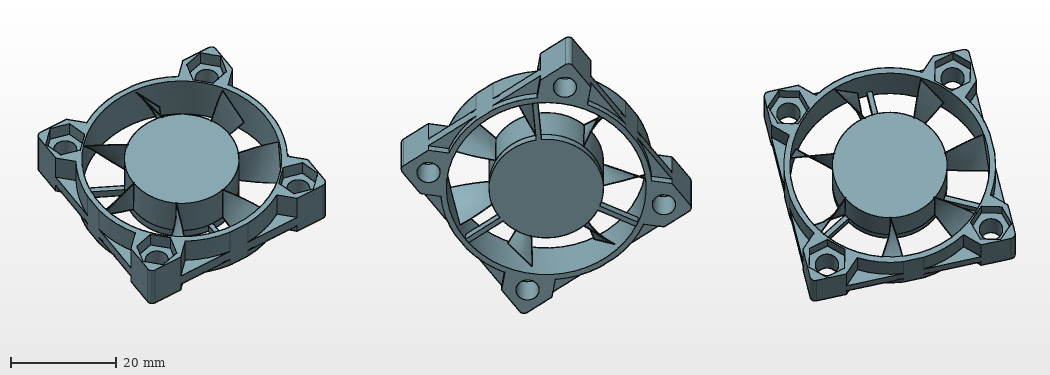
import cadquery as cq
import math

SIDE = 40.0
HEIGHT = 10.0
CORNER_RADIUS = 1.0

RING_DIAMETER = 40.2
RING_RADIUS = RING_DIAMETER / 2
BORE_RADIUS = 18.95

WEB_BOTTOM = 1.7
WEB_TOP = 4.2
BOSS_WIDTH = 9.7

HOLE_OFFSET = 16.0
HOLE_DIAMETER = 4.4
NUT_CORNER_DIAMETER = 7.75
NUT_DEPTH = 3.2

MOUNT_HEIGHT = 1.8
STRUT_WIDTH = 1.0
STRUT_COUNT = 3
STRUT_SPACING = 121.0

HUB_RADIUS = 10.9
BLADE_COUNT = 7
BLADE_CHORD = 8.1
BLADE_THICKNESS = 0.1
BLADE_TWIST = 36.0
FIRST_BLADE_ANGLE = -90.0
BLADE_ROOT_OVERLAP = 0.2


def square_block(bottom, top):
    """Rounded square plate with the outer outline of the frame."""
    return (
        cq.Workplane("XY", origin=(0, 0, bottom))
        .rect(SIDE, SIDE)
        .extrude(top - bottom)
        .edges("|Z")
        .fillet(CORNER_RADIUS)
    )


def make_frame():
    """Square fan housing with corner bosses, duct ring, web, screw holes and nut pockets."""
    full_height = cq.Workplane("XY").circle(RING_RADIUS).extrude(HEIGHT)
    for diagonal in (45, 135):
        boss_pair = (
            cq.Workplane("XY")
            .rect(2 * SIDE, BOSS_WIDTH)
            .extrude(HEIGHT)
            .rotate((0, 0, 0), (0, 0, 1), diagonal)
        )
        full_height = full_height.union(boss_pair)
    frame = full_height.intersect(square_block(0, HEIGHT)).union(square_block(WEB_BOTTOM, WEB_TOP))
    frame = frame.cut(cq.Workplane("XY").circle(BORE_RADIUS).extrude(HEIGHT))

    hole_distance = HOLE_OFFSET * math.sqrt(2)
    for diagonal in (45, 135, 225, 315):
        nut_pocket = (
            cq.Workplane("XY", origin=(0, 0, HEIGHT - NUT_DEPTH))
            .polygon(6, NUT_CORNER_DIAMETER)
            .extrude(NUT_DEPTH)
            .rotate((0, 0, 0), (0, 0, 1), 90)
        )
        screw_hole = cq.Workplane("XY").circle(HOLE_DIAMETER / 2).extrude(HEIGHT)
        cutter = (
            nut_pocket.union(screw_hole)
            .translate((hole_distance, 0, 0))
            .rotate((0, 0, 0), (0, 0, 1), diagonal)
        )
        frame = frame.cut(cutter)
    return frame


def make_motor_mount():
    """Disc under the hub with three struts that end on the bore of the frame."""
    mount = cq.Workplane("XY").circle(HUB_RADIUS).extrude(MOUNT_HEIGHT)
    for index in range(STRUT_COUNT):
        strut = (
            cq.Workplane("XY")
            .rect(RING_RADIUS, -STRUT_WIDTH, centered=False)
            .extrude(MOUNT_HEIGHT)
            .rotate((0, 0, 0), (0, 0, 1), index * STRUT_SPACING)
        )
        mount = mount.union(strut)
    return mount.intersect(cq.Workplane("XY").circle(BORE_RADIUS).extrude(MOUNT_HEIGHT))


def make_hub():
    """Plain cylindrical rotor hub standing on the motor mount."""
    return cq.Workplane("XY", origin=(0, 0, MOUNT_HEIGHT)).circle(HUB_RADIUS).extrude(HEIGHT - MOUNT_HEIGHT)


def make_blade(angle):
    """Thin blade, upright at the hub and twisted about its radius towards a flat tip."""
    half_tip_width = BLADE_CHORD / 2 * math.sin(math.radians(BLADE_TWIST))
    tip_distance = math.sqrt(BORE_RADIUS**2 - (half_tip_width + BLADE_THICKNESS) ** 2)
    mid_height = HEIGHT - BLADE_CHORD / 2
    root_distance = HUB_RADIUS - BLADE_ROOT_OVERLAP
    blade = (
        cq.Workplane("YZ", origin=(root_distance, 0, mid_height))
        .rect(BLADE_THICKNESS, BLADE_CHORD)
        .twistExtrude(tip_distance - root_distance, -BLADE_TWIST)
    )
    hub_space = cq.Workplane("XY").circle(HUB_RADIUS).extrude(HEIGHT)
    return blade.cut(hub_space).rotate((0, 0, 0), (0, 0, 1), angle)


frame = make_frame()
motor_mount = make_motor_mount()
hub = make_hub()
blades = [make_blade(FIRST_BLADE_ANGLE + index * 360 / BLADE_COUNT) for index in range(BLADE_COUNT)]

result = cq.Compound.makeCompound(
    [frame.val(), motor_mount.val(), hub.val(), *[blade.val() for blade in blades]]
)